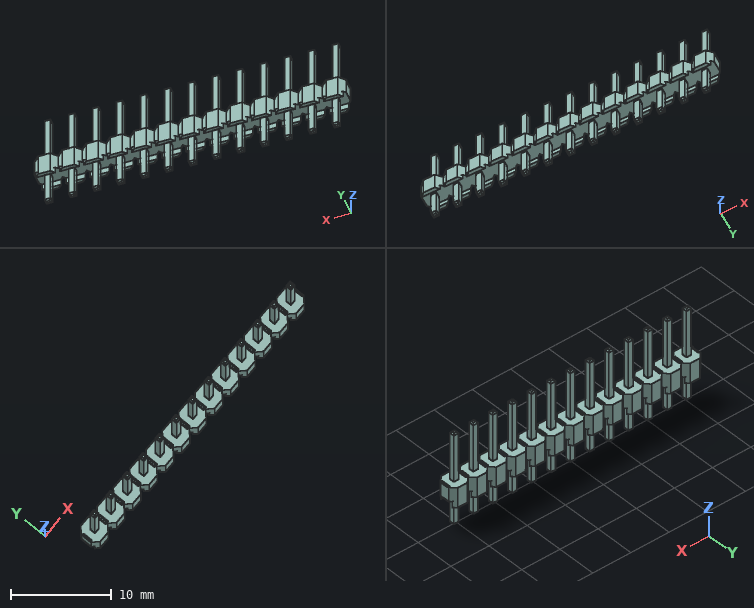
import cadquery as cq

row_length = 33.02
pin_count = 13
pitch = row_length / pin_count
body_width = 2.55
body_height = 2.55
corner_chamfer = pitch / 4

channel_width = 1.75
channel_height = 0.73

recess_length = 0.4
recess_width = 1.1
recess_depth = 0.1
recess_wall_angle = 45

pin_side = 0.63
pin_length = 11.6
pin_below_body = 3.0
pin_tip_chamfer = 0.15

cell_edges = [-row_length / 2 + i * pitch for i in range(pin_count + 1)]
cell_centres = [edge + pitch / 2 for edge in cell_edges[:-1]]


def at_positions(solid, x_positions):
    """Copy a solid made at X = 0 to each X position."""
    return [solid.translate((x, 0, 0)) for x in x_positions]


def make_cell():
    """Octagonal plastic block around one pin."""
    block = cq.Workplane("XY").box(pitch, body_width, body_height, centered=(True, True, False))
    return block.edges("|Z").chamfer(corner_chamfer)


def make_channel():
    """Cutter for the channel along the whole underside."""
    return cq.Workplane("XY").box(row_length, channel_width, channel_height, centered=(True, True, False))


def make_recess():
    """Cutter for one recess, tapering inwards from the top face to its floor."""
    top_face = cq.Workplane("XY").workplane(offset=body_height)
    return top_face.rect(recess_length, recess_width).extrude(-recess_depth, taper=recess_wall_angle)


def make_pin():
    """Square pin with chamfered tips."""
    base = cq.Workplane("XY").workplane(offset=-pin_below_body)
    pin = base.rect(pin_side, pin_side).extrude(pin_length)
    return pin.faces("<Z or >Z").chamfer(pin_tip_chamfer)


body = cq.Workplane("XY")
for cell in at_positions(make_cell(), cell_centres):
    body = body.union(cell)

body = body.cut(make_channel())
for recess in at_positions(make_recess(), cell_edges):
    body = body.cut(recess)

result = body
for pin in at_positions(make_pin(), cell_centres):
    result = result.union(pin)